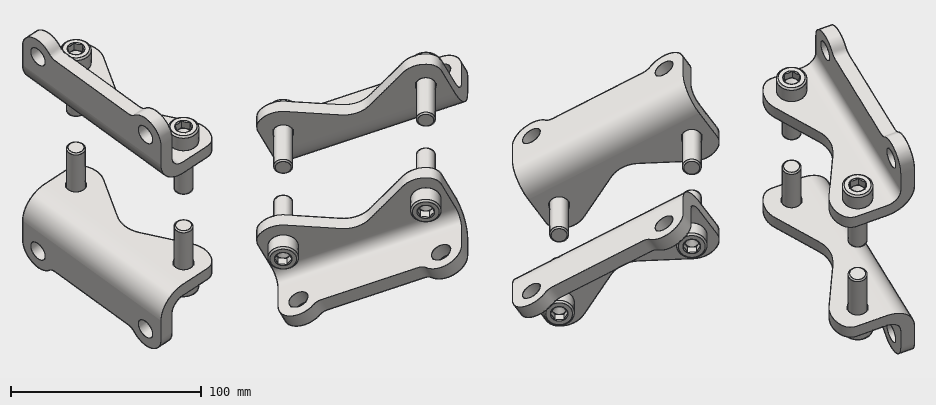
import cadquery as cq
import math

HALF_HEIGHT = 81.7
WIDTH = 105.5
DEPTH = 42.5
THICKNESS = 8.0
PLATE_HEIGHT = 41.7
INNER_BEND_RADIUS = 8.0
OUTER_BEND_RADIUS = INNER_BEND_RADIUS + THICKNESS
PLATE_BOTTOM = HALF_HEIGHT - PLATE_HEIGHT
SEAT_Z = PLATE_BOTTOM + THICKNESS

LUG_RADIUS = 11.8
LUG_X = WIDTH / 2 - LUG_RADIUS
LUG_Z = HALF_HEIGHT - LUG_RADIUS
LUG_DROP = 5.7
LUG_BLEND_RADIUS = 6.0
HOLE_DIAMETER = 11.0

TIP_RADIUS = 15.0
BOLT_X = LUG_X
BOLT_Y = DEPTH - TIP_RADIUS
CORNER_RADIUS = 8.0
RELIEF_SLOPE = 29.0
RELIEF_RADIUS = 17.2

SHANK_DIAMETER = 10.0
SHANK_LENGTH = 35.0
HEAD_DIAMETER = 16.0
HEAD_HEIGHT = 10.0
HEAD_CHAMFER = 1.0
SHANK_CHAMFER = 0.8
SOCKET_FLATS = 8.0
SOCKET_CORNERS = SOCKET_FLATS / math.cos(math.radians(30))
SOCKET_DEPTH = 5.0
SOCKET_TIP_DEPTH = 2.3
MOUTH_DIAMETER = 9.3
MOUTH_DEPTH = 0.8


def on_circle(center, radius, degrees):
    """Point of a circle at the given angle."""
    angle = math.radians(degrees)
    return (center[0] + radius * math.cos(angle), center[1] + radius * math.sin(angle))


def arc_through(center, radius, start, end):
    """Middle and end point of an arc, ready for threePointArc."""
    middle = on_circle(center, radius, (start + end) / 2)
    return middle, on_circle(center, radius, end)


def bent_sheet():
    """L section with concentric bend radii, extruded across the width."""
    bend = (OUTER_BEND_RADIUS, PLATE_BOTTOM + OUTER_BEND_RADIUS)
    return (
        cq.Workplane("YZ")
        .workplane(offset=-WIDTH / 2)
        .moveTo(0, HALF_HEIGHT)
        .lineTo(0, bend[1])
        .threePointArc(*arc_through(bend, OUTER_BEND_RADIUS, 180, 270))
        .lineTo(DEPTH, PLATE_BOTTOM)
        .lineTo(DEPTH, SEAT_Z)
        .lineTo(bend[0], SEAT_Z)
        .threePointArc(*arc_through(bend, INNER_BEND_RADIUS, 270, 180))
        .lineTo(THICKNESS, HALF_HEIGHT)
        .close()
        .extrude(WIDTH)
    )


def upright_envelope():
    """Outline of the upright flange in XZ, carried through the full depth."""
    edge_z = HALF_HEIGHT - LUG_DROP
    lug = (LUG_X, LUG_Z)
    reach = LUG_RADIUS + LUG_BLEND_RADIUS
    rise = edge_z + LUG_BLEND_RADIUS - LUG_Z
    lean = math.degrees(math.asin(rise / reach))
    blend = on_circle(lug, reach, 180 - lean)
    return (
        cq.Workplane("XZ")
        .moveTo(0, PLATE_BOTTOM)
        .lineTo(WIDTH / 2, PLATE_BOTTOM)
        .lineTo(WIDTH / 2, LUG_Z)
        .threePointArc(*arc_through(lug, LUG_RADIUS, 0, 180 - lean))
        .threePointArc(*arc_through(blend, LUG_BLEND_RADIUS, -lean, -90))
        .lineTo(0, edge_z)
        .mirrorY()
        .extrude(-DEPTH)
    )


def level_envelope():
    """Outline of the level flange in XY, carried through the full plate height."""
    tip = (BOLT_X, BOLT_Y)
    corner_reach = TIP_RADIUS - CORNER_RADIUS
    corner_angle = math.degrees(math.acos((WIDTH / 2 - CORNER_RADIUS - BOLT_X) / corner_reach))
    corner = on_circle(tip, corner_reach, corner_angle)

    slope = math.radians(RELIEF_SLOPE)
    relief_rise = (TIP_RADIUS + RELIEF_RADIUS - BOLT_X * math.sin(slope)) / math.cos(slope)
    relief = (0, BOLT_Y + relief_rise)
    tangent_angle = 90 + RELIEF_SLOPE
    return (
        cq.Workplane("XY")
        .workplane(offset=PLATE_BOTTOM)
        .moveTo(0, 0)
        .lineTo(WIDTH / 2, 0)
        .lineTo(WIDTH / 2, corner[1])
        .threePointArc(*arc_through(corner, CORNER_RADIUS, 0, corner_angle))
        .threePointArc(*arc_through(tip, TIP_RADIUS, corner_angle, tangent_angle))
        .lineTo(*on_circle(relief, RELIEF_RADIUS, tangent_angle - 180))
        .threePointArc(*arc_through(relief, RELIEF_RADIUS, tangent_angle - 180, -90))
        .mirrorY()
        .extrude(PLATE_HEIGHT)
    )


def clamp_plate():
    """Upper plate: bent sheet trimmed to both outlines, with lug and bolt holes."""
    lug_holes = (
        cq.Workplane("XZ")
        .pushPoints([(-LUG_X, LUG_Z), (LUG_X, LUG_Z)])
        .circle(HOLE_DIAMETER / 2)
        .extrude(-THICKNESS)
    )
    bolt_holes = (
        cq.Workplane("XY")
        .workplane(offset=PLATE_BOTTOM)
        .pushPoints([(-BOLT_X, BOLT_Y), (BOLT_X, BOLT_Y)])
        .circle(HOLE_DIAMETER / 2)
        .extrude(THICKNESS)
    )
    plate = bent_sheet().intersect(upright_envelope()).intersect(level_envelope())
    return plate.cut(lug_holes).cut(bolt_holes)


def hex_socket():
    """Hexagonal recess with a conical floor and a conical mouth, measured down from Z = 0."""
    hexagon = (
        cq.Workplane("XY")
        .transformed(rotate=(0, 0, 90))
        .polygon(6, SOCKET_CORNERS)
        .extrude(-SOCKET_DEPTH)
    )
    down = cq.Vector(0, 0, -1)
    floor = cq.Solid.makeCone(SOCKET_FLATS / 2, 0, SOCKET_TIP_DEPTH, cq.Vector(0, 0, -SOCKET_DEPTH), down)
    mouth = cq.Solid.makeCone(MOUTH_DIAMETER / 2, MOUTH_DIAMETER / 2 - MOUTH_DEPTH, MOUTH_DEPTH, dir=down)
    return hexagon.union(cq.Workplane(floor)).union(cq.Workplane(mouth))


def bolt():
    """Upright bolt whose head rests on Z = 0."""
    head = cq.Workplane("XY").circle(HEAD_DIAMETER / 2).extrude(HEAD_HEIGHT)
    head = head.faces(">Z").chamfer(HEAD_CHAMFER)
    shank = cq.Workplane("XY").circle(SHANK_DIAMETER / 2).extrude(-SHANK_LENGTH)
    shank = shank.faces("<Z").chamfer(SHANK_CHAMFER)
    socket = hex_socket().translate((0, 0, HEAD_HEIGHT))
    return head.union(shank).cut(socket)


upper_plate = clamp_plate()
lower_plate = upper_plate.mirror("XY")

bolts = []
for side in (-1, 1):
    upper_bolt = bolt().translate((side * BOLT_X, BOLT_Y, SEAT_Z))
    lower_bolt = upper_bolt.mirror("XY")
    bolts.extend([upper_bolt.val(), lower_bolt.val()])

result = cq.Compound.makeCompound([upper_plate.val(), lower_plate.val(), *bolts])